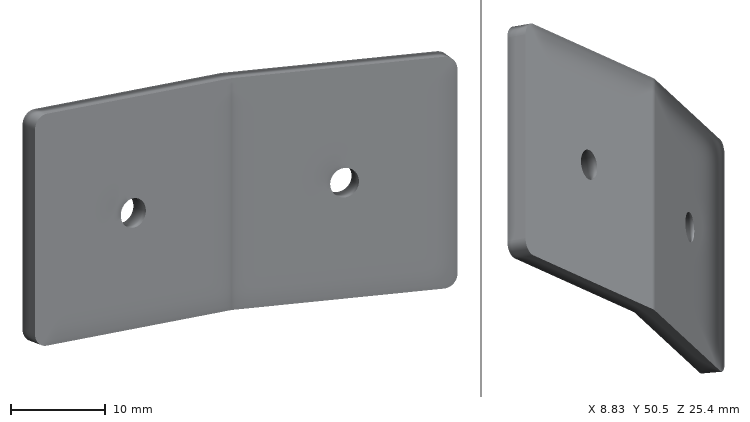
import cadquery as cq
import math

plate_width = 25.4
overall_length = 50.55
thickness = 2.25
bend_angle = 15.0
corner_radius = 1.5
hole_diameter = 3.25

bend_sine = math.sin(math.radians(bend_angle))
bend_cosine = math.cos(math.radians(bend_angle))
base_length = plate_width
bend_rise = thickness * bend_sine
wing_length = (overall_length - base_length - bend_rise) / bend_cosine


def drilled_plate(length, rounded_end):
    """Plate from Y = 0 to length, rounded at one end, with a central hole."""
    plate = cq.Workplane("XY").box(thickness, length, plate_width, centered=(False, False, True))
    plate = plate.faces(rounded_end).edges("|X").fillet(corner_radius)
    hole = (
        cq.Workplane("YZ")
        .center(length / 2, 0)
        .circle(hole_diameter / 2)
        .extrude(thickness)
    )
    return plate.cut(hole)


base = drilled_plate(base_length, "<Y")

wing = (
    drilled_plate(wing_length, ">Y")
    .translate((0, base_length, 0))
    .rotate((thickness, base_length, 0), (thickness, base_length, 1), -bend_angle)
)

half_angle = math.radians(bend_angle / 2)
arc_middle = (
    thickness * (1 - math.cos(half_angle)),
    base_length + thickness * math.sin(half_angle),
)
arc_end = (thickness * (1 - bend_cosine), base_length + bend_rise)
bend = (
    cq.Workplane("XY")
    .workplane(offset=-plate_width / 2)
    .moveTo(thickness, base_length)
    .lineTo(0, base_length)
    .threePointArc(arc_middle, arc_end)
    .close()
    .extrude(plate_width)
)

result = base.union(bend).union(wing)